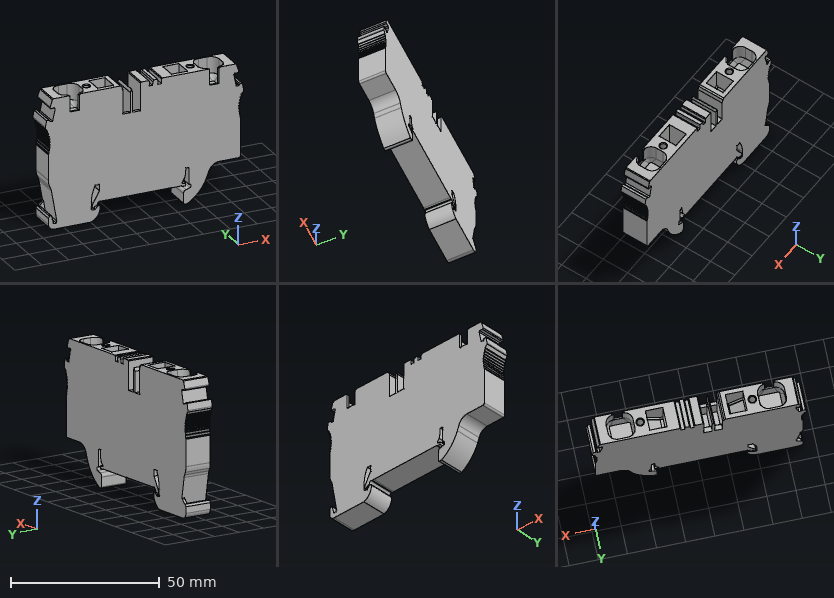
import cadquery as cq

LENGTH = 73.74
WIDTH = 10.0
HEIGHT = 48.0
HALF_LENGTH = LENGTH / 2
HALF_WIDTH = WIDTH / 2

SHOULDER_X = 34.25
FLANK_X = 35.65
LIP_TIP_Z = 38.0
LIP_FACE = 0.5
FLANK_TOP_Z = 28.1
SHELF_Z = 13.3
SHELF_ROUND = 0.7
BASE_Z = 7.0
FOOT_EDGE_X = -35.7
FOOT_RADIUS = 2.1
FOOT_LIP_ROUND = 0.8

TOOTH_COUNT = 9
TOOTH_PITCH = 1.0
TOOTH_TOP_Z = 36.4
TOOTH_DEPTH = 0.24
TOOTH_VALLEY = 0.15
TOOTH_STEP = 0.15
TOOTH_CREST = 0.25
GRIP_WAIST_X = 35.2
GRIP_WAIST_Z = 31.8
GRIP_CURVATURE = 0.042

BRIDGE_LEFT = -8.0
BRIDGE_RIGHT = -1.55
BRIDGE_Z = 37.5
BRIDGE_EDGE = 1.0
BRIDGE_BEVEL = 0.45
BRIDGE_LEAD_IN = 1.7
FIN_X = -4.87
FIN_HALF = 0.45
FIN_SHOULDER_Z = 44.9
FIN_TIP_Z = 46.1
BRIDGE_POCKET_FRONT = -3.75
BRIDGE_POCKET_BACK = 3.25
BRIDGE_POCKET_DEPTH = 8.0

NOTCH_Z = 46.0
NOTCH_LEFT = 1.8
NOTCH_RIGHT = 6.3
RIB_LEFT = 3.25
RIB_RIGHT = 4.95
RIB_TOP_Z = 47.9
EDGE_BREAK = 0.3

FUNNEL_X = 25.9
FUNNEL_CORNER = 2.95
FUNNEL_OUTER = 4.7
FUNNEL_INNER = 4.5
FUNNEL_HALF_Y = 4.35
FUNNEL_Z = 42.0
FUNNEL_FLOOR_Z = 39.6
FUNNEL_FLOOR_OUTER = 29.25
FUNNEL_FLOOR_INNER = 22.0
FUNNEL_FLOOR_FRONT = -3.2
FUNNEL_FLOOR_BACK = 2.55
FUNNEL_FLOOR_ROUND = 0.5

WINDOW_HALF = 1.75
WINDOW_THROAT_HALF = 1.3
WINDOW_Z = 42.0
WINDOW_ROUND = 0.35
WINDOW_FLARE = 0.4
WINDOW_OVERLAP = 0.2

TEST_X = 19.25
TEST_DIAMETER = 2.2
TEST_MOUTH_DIAMETER = 2.8
TEST_DEPTH = 8.0

DRIVER_OUTER = 16.7
DRIVER_INNER = 10.75
DRIVER_RAMP_END = 11.8
DRIVER_HALF_Y = 3.45
DRIVER_RAMP_HALF_Y = 2.75
DRIVER_RAMP_TOP_Z = 40.0
DRIVER_FLOOR_Z = 36.6
DRIVER_LEDGE = 0.5

WEB_THICKNESS = 1.0
GAP_TOP = (-33.3, 6.9)
GAP_INNER = (-32.6, 2.9)
GAP_BOTTOM_INNER = (-32.85, 2.15)
GAP_BOTTOM_OUTER = (-33.75, 2.15)
GAP_MOUTH = (-34.6, 5.2)
WEB_CORNER = (-34.95, 5.2)


def grip_points():
    """Toothed concave grip of the right end face, from the lip tip downwards."""
    points = []
    for i in range(TOOTH_COUNT):
        z = TOOTH_TOP_Z - i * TOOTH_PITCH
        x = GRIP_WAIST_X + GRIP_CURVATURE * (z - GRIP_WAIST_Z) ** 2
        valley_x = x - TOOTH_DEPTH / 2
        crest_x = x + TOOTH_DEPTH / 2
        valley_end = z - TOOTH_VALLEY
        crest_start = valley_end - TOOTH_STEP
        points.append((valley_x, z))
        points.append((valley_x, valley_end))
        points.append((crest_x, crest_start))
        points.append((crest_x, crest_start - TOOTH_CREST))
    return points


def end_points():
    """Right end face from the top shoulder down to the plain flank."""
    marker_groove = [
        (SHOULDER_X - EDGE_BREAK, HEIGHT),
        (SHOULDER_X, HEIGHT - EDGE_BREAK),
        (35.05, 45.2),
        (35.1, 44.8),
        (34.7, 44.5),
        (33.5, 44.6),
        (33.2, 44.1),
        (34.15, 39.8),
        (34.9, 39.8),
        (35.15, 40.15),
        (35.5, 40.4),
        (36.4, 40.4),
        (HALF_LENGTH, LIP_TIP_Z),
        (HALF_LENGTH, LIP_TIP_Z - LIP_FACE),
    ]
    return marker_groove + grip_points() + [(FLANK_X, FLANK_TOP_Z)]


def mirrored(points):
    return [(-x, z) for x, z in points]


def housing():
    """Side outline, drawn clockwise from the left shoulder, through the full width."""
    outline = cq.Workplane("XZ", origin=(0, HALF_WIDTH, 0)).moveTo(EDGE_BREAK - SHOULDER_X, HEIGHT)

    outline = (
        outline.lineTo(BRIDGE_LEFT - BRIDGE_EDGE, HEIGHT)
        .lineTo(BRIDGE_LEFT - BRIDGE_BEVEL, HEIGHT - BRIDGE_BEVEL)
        .lineTo(BRIDGE_LEFT, HEIGHT - BRIDGE_LEAD_IN)
        .lineTo(BRIDGE_LEFT, BRIDGE_Z)
        .lineTo(FIN_X - FIN_HALF, BRIDGE_Z)
        .lineTo(FIN_X - FIN_HALF, FIN_SHOULDER_Z)
        .lineTo(FIN_X, FIN_TIP_Z)
        .lineTo(FIN_X + FIN_HALF, FIN_SHOULDER_Z)
        .lineTo(FIN_X + FIN_HALF, BRIDGE_Z)
        .lineTo(BRIDGE_RIGHT, BRIDGE_Z)
        .lineTo(BRIDGE_RIGHT, HEIGHT - EDGE_BREAK)
        .lineTo(BRIDGE_RIGHT + EDGE_BREAK, HEIGHT)
        .lineTo(NOTCH_LEFT - EDGE_BREAK, HEIGHT)
        .lineTo(NOTCH_LEFT, HEIGHT - EDGE_BREAK)
        .lineTo(NOTCH_LEFT, NOTCH_Z)
        .lineTo(RIB_LEFT - EDGE_BREAK, NOTCH_Z)
        .lineTo(RIB_LEFT - EDGE_BREAK / 2, RIB_TOP_Z - 2 * EDGE_BREAK)
        .lineTo(RIB_LEFT + EDGE_BREAK / 2, RIB_TOP_Z)
        .lineTo(RIB_RIGHT - EDGE_BREAK / 2, RIB_TOP_Z)
        .lineTo(RIB_RIGHT, RIB_TOP_Z - 2 * EDGE_BREAK)
        .lineTo(RIB_RIGHT, NOTCH_Z)
        .lineTo(NOTCH_RIGHT, NOTCH_Z)
        .lineTo(NOTCH_RIGHT, HEIGHT - EDGE_BREAK)
        .lineTo(NOTCH_RIGHT + EDGE_BREAK, HEIGHT)
    )

    for point in end_points():
        outline = outline.lineTo(*point)
    outline = (
        outline.lineTo(FLANK_X, SHELF_Z + SHELF_ROUND)
        .radiusArc((FLANK_X - SHELF_ROUND, SHELF_Z), SHELF_ROUND)
        .lineTo(27.6, SHELF_Z)
    )

    outline = (
        outline.threePointArc((25.3, 12.4), (23.9, 10.4))
        .lineTo(23.2, 8.5)
        .threePointArc((20.6, 4.0), (15.9, 0.0))
        .lineTo(15.0, 0.0)
        .threePointArc((14.6, 0.2), (14.45, 0.6))
        .lineTo(14.45, 4.0)
        .threePointArc((14.7, 4.9), (15.4, 5.3))
        .lineTo(16.9, 5.8)
        .threePointArc((17.25, 6.4), (17.0, 7.0))
        .lineTo(16.45, 7.1)
        .lineTo(16.45, 12.9)
        .threePointArc((16.3, 13.2), (16.0, SHELF_Z))
        .lineTo(15.3, SHELF_Z)
        .threePointArc((15.15, 11.0), (14.8, 9.4))
        .lineTo(14.0, 8.3)
        .threePointArc((14.0, 7.9), (14.4, 7.75))
        .lineTo(15.25, 7.75)
        .lineTo(15.25, 6.75)
        .lineTo(13.8, 6.75)
        .lineTo(13.8, BASE_Z)
    )

    outline = (
        outline.lineTo(-15.4, BASE_Z)
        .lineTo(-16.0, 6.9)
        .lineTo(-16.5, 7.1)
        .threePointArc((-17.1, 6.8), (-17.4, 6.0))
        .lineTo(-18.5, 5.5)
        .lineTo(-18.6, 5.0)
        .lineTo(-19.1, 4.9)
        .threePointArc((-19.45, 5.7), (-19.1, 6.9))
        .lineTo(-16.75, 11.0)
        .lineTo(-16.75, SHELF_Z)
        .lineTo(-18.3, SHELF_Z)
        .threePointArc((-19.5, 9.9), (-19.8, 7.0))
        .lineTo(-19.8, 4.9)
        .threePointArc((-19.65, 4.6), (-19.3, 4.4))
        .lineTo(-18.5, 4.4)
        .lineTo(-17.5, 5.4)
        .threePointArc((-16.9, 5.7), (-16.45, 5.2))
    )

    outline = (
        outline.threePointArc((-17.5, 1.7), (-19.9, 0.0))
        .lineTo(FOOT_EDGE_X + FOOT_RADIUS, 0.0)
        .threePointArc((-35.1, 0.6), (FOOT_EDGE_X, FOOT_RADIUS))
        .lineTo(FOOT_EDGE_X, GAP_MOUTH[1] - FOOT_LIP_ROUND)
        .lineTo(FOOT_EDGE_X + FOOT_LIP_ROUND / 2, GAP_MOUTH[1])
        .lineTo(*GAP_MOUTH)
        .lineTo(*GAP_BOTTOM_OUTER)
        .lineTo(*GAP_BOTTOM_INNER)
        .lineTo(*GAP_INNER)
        .lineTo(-34.6, 14.3)
        .threePointArc((-34.72, 14.8), (-34.95, 15.3))
        .lineTo(-35.4, 16.3)
        .threePointArc((-35.6, 17.2), (-FLANK_X, 18.3))
    )
    for point in reversed(mirrored(end_points())):
        outline = outline.lineTo(*point)
    return outline.close().extrude(WIDTH)


def foot_web():
    corners = [GAP_TOP, GAP_INNER, GAP_BOTTOM_INNER, GAP_BOTTOM_OUTER, GAP_MOUTH, WEB_CORNER]
    return cq.Workplane("XZ", origin=(0, HALF_WIDTH, 0)).polyline(corners).close().extrude(WEB_THICKNESS)


def box(x_range, y_range, z_range):
    x0, x1 = x_range
    y0, y1 = y_range
    z0, z1 = z_range
    return cq.Workplane("XY").box(x1 - x0, y1 - y0, z1 - z0, centered=False).translate((x0, y0, z0))


def bridge_pockets():
    """Deeper middle part of each bridge slot."""
    y_range = (BRIDGE_POCKET_FRONT, BRIDGE_POCKET_BACK)
    z_range = (BRIDGE_Z - BRIDGE_POCKET_DEPTH, BRIDGE_Z)
    left = box((BRIDGE_LEFT, FIN_X - FIN_HALF), y_range, z_range)
    right = box((FIN_X + FIN_HALF, BRIDGE_RIGHT), y_range, z_range)
    return left.union(right)


def funnel():
    """Left wire entry: a rounded shaft that narrows to a small rectangular floor."""
    shaft_length = FUNNEL_OUTER + FUNNEL_INNER
    shaft_x = -FUNNEL_X - (FUNNEL_OUTER - FUNNEL_INNER) / 2
    rim = cq.Sketch().rect(shaft_length, 2 * FUNNEL_HALF_Y).vertices().fillet(FUNNEL_CORNER)
    floor_length = FUNNEL_FLOOR_OUTER - FUNNEL_FLOOR_INNER
    floor_width = FUNNEL_FLOOR_BACK - FUNNEL_FLOOR_FRONT
    floor_x = -(FUNNEL_FLOOR_OUTER + FUNNEL_FLOOR_INNER) / 2
    floor_y = (FUNNEL_FLOOR_BACK + FUNNEL_FLOOR_FRONT) / 2
    floor = cq.Sketch().rect(floor_length, floor_width).vertices().fillet(FUNNEL_FLOOR_ROUND)

    shaft_base = cq.Workplane("XY", origin=(shaft_x, 0, FUNNEL_Z))
    shaft = shaft_base.placeSketch(rim).extrude(HEIGHT - FUNNEL_Z)
    floor_offset = cq.Location(cq.Vector(floor_x - shaft_x, floor_y, FUNNEL_FLOOR_Z - FUNNEL_Z))
    taper = shaft_base.placeSketch(rim, floor.moved(floor_offset)).loft(ruled=True)
    return shaft.union(taper)


def window():
    """Left funnel window: narrows towards the funnel and flares at the top edge."""
    depth = HALF_WIDTH - FUNNEL_HALF_Y + WINDOW_OVERLAP
    front = (-FUNNEL_X, -HALF_WIDTH, (WINDOW_Z + HEIGHT) / 2)
    tall = HEIGHT - WINDOW_Z
    opening = (
        cq.Workplane("XZ", origin=front)
        .rect(2 * WINDOW_HALF, tall)
        .workplane(offset=-depth)
        .rect(2 * WINDOW_THROAT_HALF, tall)
        .loft(ruled=True)
    )
    rounded = (
        cq.Workplane("XZ", origin=front)
        .rect(2 * WINDOW_HALF, tall)
        .extrude(-depth)
        .edges("|Y and <Z")
        .fillet(WINDOW_ROUND)
    )
    flare = (
        cq.Workplane("XZ", origin=(-FUNNEL_X, -HALF_WIDTH, HEIGHT))
        .moveTo(-WINDOW_HALF - WINDOW_FLARE, 0)
        .lineTo(WINDOW_HALF + WINDOW_FLARE, 0)
        .lineTo(WINDOW_HALF, -WINDOW_FLARE)
        .lineTo(-WINDOW_HALF, -WINDOW_FLARE)
        .close()
        .extrude(-depth)
    )
    return opening.intersect(rounded).union(flare)


def test_hole():
    """Left test hole with a countersunk mouth."""
    countersink = (TEST_MOUTH_DIAMETER - TEST_DIAMETER) / 2
    top = cq.Workplane("XY", origin=(-TEST_X, 0, HEIGHT))
    bore = top.circle(TEST_DIAMETER / 2).extrude(-TEST_DEPTH)
    mouth = (
        top.circle(TEST_MOUTH_DIAMETER / 2)
        .workplane(offset=-countersink)
        .circle(TEST_DIAMETER / 2)
        .loft()
    )
    return bore.union(mouth)


def ramp_pocket(half_width, ramp_lift):
    """Left pocket whose floor falls along a ramp towards the middle of the housing."""
    return (
        cq.Workplane("XZ", origin=(0, half_width, 0))
        .moveTo(-DRIVER_OUTER, HEIGHT)
        .lineTo(-DRIVER_INNER, HEIGHT)
        .lineTo(-DRIVER_INNER, DRIVER_FLOOR_Z + ramp_lift)
        .lineTo(-DRIVER_RAMP_END, DRIVER_FLOOR_Z + ramp_lift)
        .lineTo(-DRIVER_OUTER, DRIVER_RAMP_TOP_Z + ramp_lift)
        .close()
        .extrude(2 * half_width)
    )


def driver_pocket():
    """Left screwdriver pocket: a ramp with a slightly raised ledge along each side."""
    return ramp_pocket(DRIVER_HALF_Y, DRIVER_LEDGE).union(ramp_pocket(DRIVER_RAMP_HALF_Y, 0))


body = housing().union(foot_web()).cut(bridge_pockets())
for cutter in (funnel(), window(), test_hole(), driver_pocket()):
    body = body.cut(cutter).cut(cutter.mirror("YZ"))

result = body